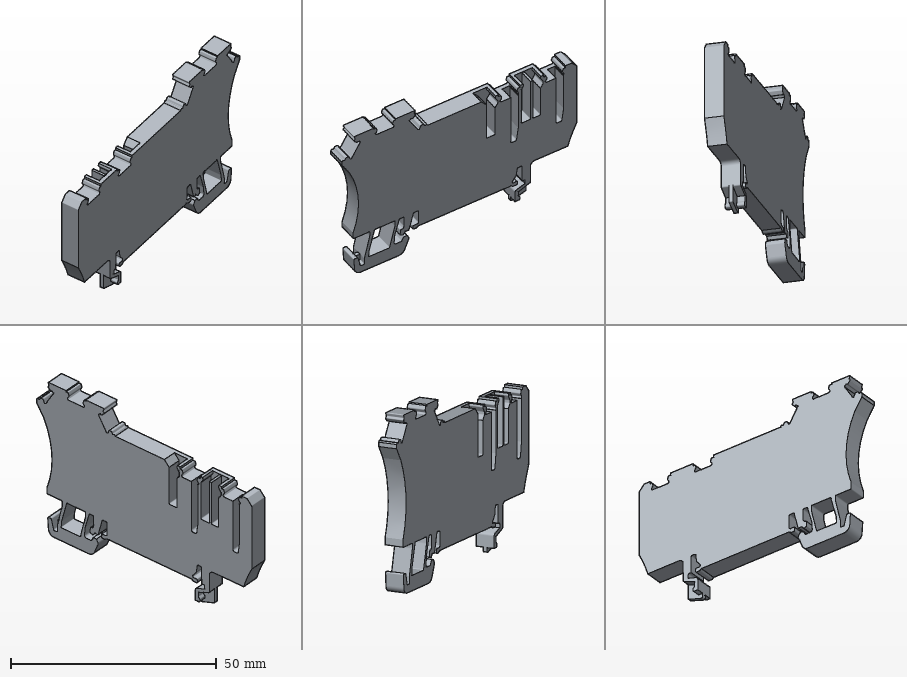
import cadquery as cq
import math

THICKNESS = 5.0
LENGTH = 68.05
HEIGHT = 45.05

BODY_TOP = 38.45
SHOULDER = 11.9
BODY_BOTTOM = 6.95

HEAD_HALF_LENGTH = 12.45
HEAD_AXIS = LENGTH - HEAD_HALF_LENGTH
HEAD_BASE = 37.8
HEAD_NOTCH_DEPTH = 2.45

END_CHAMFER = 1.5
END_FILLET = 0.3
END_Y = 64.8

OVERLAP = 0.7

FOOT_GAP_LEFT = 51.4
FOOT_GAP_RIGHT = 50.0
HOOK_GAP_LEFT = 47.3
HOOK_GAP_RIGHT = 45.8
LEG_GAP_LEFT = 17.2
LEG_GAP_RIGHT = 15.85
GAP_FILLET = 0.4

STRUT_EDGE = 59.95
STRUT_FILLET = 0.3
FOOT_FLOOR = 3.9

OPENING_DEPTH = 3.8
OPENING_PITCH = 13.1
NOTCH_CENTER = 19.5
NOTCH_DEPTH = 2.7
WIRE_SLOT_LEFT = 19.1
WIRE_SLOT_RIGHT = 16.95
CHAMBER_FLOOR = 25.9
CHAMBER_CORNER = 0.3
FLARE_BOTTOM = 36.8

WEB_START = 2.0
WEB_THICKNESS = 1.0


def outline(corners):
    """Closed YZ wire through (y, z) or (y, z, corner radius) entries."""
    starts, middles, ends = [], [], []
    for i, corner in enumerate(corners):
        point = cq.Vector(corner[0], corner[1])
        radius = corner[2] if len(corner) > 2 else 0
        before = cq.Vector(*corners[i - 1][:2])
        after = cq.Vector(*corners[(i + 1) % len(corners)][:2])
        to_before = (before - point).normalized()
        to_after = (after - point).normalized()
        half_angle = to_before.getAngle(to_after) / 2
        tangent = radius / math.tan(half_angle)
        to_arc = radius / math.sin(half_angle) - radius
        starts.append(point + to_before * tangent)
        middles.append(point + (to_before + to_after).normalized() * to_arc if radius else None)
        ends.append(point + to_after * tangent)

    wire = cq.Workplane("YZ").moveTo(ends[0].x, ends[0].y)
    for i in list(range(1, len(corners))) + [0]:
        wire = wire.lineTo(starts[i].x, starts[i].y)
        if middles[i]:
            wire = wire.threePointArc((middles[i].x, middles[i].y), (ends[i].x, ends[i].y))
    return wire.close()


def plate(corners, thickness=THICKNESS, start=0.0):
    """Flat plate with the given YZ outline, from X = start."""
    return outline(corners).extrude(thickness).translate((start, 0, 0))


def notch(center, top, depth):
    """Undercut notch for snap-in markers, symmetric about Y = center."""
    floor = top - depth
    half = [
        (2.45, floor, 0.15),
        (2.7, floor + 0.4, 0.15),
        (2.2, floor + 1.2, 0.35),
        (2.5, floor + 2.1, 0.3),
        (3.1, floor + 2.1),
        (3.1, top),
    ]
    right = [(center - c[0], *c[1:]) for c in half]
    left = [(center + c[0], *c[1:]) for c in reversed(half)]
    return plate(right + left)


def body():
    """Main plate, with a concave +Y end and a chamfered -Y end."""
    ear_bottom = 37.35
    return (
        cq.Workplane("YZ")
        .moveTo(END_CHAMFER, BODY_TOP)
        .lineTo(0, FLARE_BOTTOM)
        .lineTo(0, 18.3)
        .threePointArc((1.5, 15.05), (2.6, SHOULDER))
        .lineTo(END_Y, SHOULDER)
        .lineTo(END_Y, 13.8)
        .threePointArc((63.2, 22.65), (65.9, 33.95))
        .lineTo(LENGTH, ear_bottom)
        .lineTo(LENGTH, HEAD_BASE)
        .lineTo(HEAD_AXIS - HEAD_HALF_LENGTH, HEAD_BASE)
        .lineTo(HEAD_AXIS - HEAD_HALF_LENGTH, BODY_TOP)
        .close()
        .extrude(THICKNESS)
    )


def head():
    """Marker carrier: a T-shaped head with a beaded valley at each side."""
    half = [
        (8.9, HEIGHT, 0.2),
        (8.6, 44.15, 0.15),
        (8.9, 43.6, 0.2),
        (8.1, 42.75, 0.2),
        (7.7, 43.0, 0.2),
        (7.1, 42.45),
        (9.5, 38.5, 0.2),
        (9.95, 38.2, 0.15),
        (10.4, 39.3, 0.4),
        (11.3, 39.3, 0.4),
        (11.65, 38.6, 0.15),
        (12.1, 38.9, 0.2),
        (HEAD_HALF_LENGTH, BODY_TOP),
        (HEAD_HALF_LENGTH, HEAD_BASE),
    ]
    right = [(HEAD_AXIS - c[0], *c[1:]) for c in half]
    left = [(HEAD_AXIS + c[0], *c[1:]) for c in reversed(half)]
    return plate(right + left)


def clamp_chamber(left, right):
    """Narrow chamber whose -Y wall bulges outward near the top."""
    bulge = 0.8
    return [
        (left, CHAMBER_FLOOR, CHAMBER_CORNER),
        (right, CHAMBER_FLOOR, CHAMBER_CORNER),
        (right, 34.65),
        (right - bulge, 35.8, 0.4),
        (right - bulge, 36.55, 0.4),
        (right, 37.85, 0.3),
        (right - 0.15, BODY_TOP),
    ]


def openings():
    """Flared chamber, then a pair of chambers either side of a thin rib."""
    flared_left = 26.1
    flared_right = 23.7
    rib_left = 13.4
    rib_right = 12.7
    rib_top = BODY_TOP - 0.2
    hooked_left = 16.05

    flared = clamp_chamber(flared_left, flared_right)
    flared += [(flared_left + 1.5, BODY_TOP), (flared_left, FLARE_BOTTOM)]
    straight = clamp_chamber(rib_right, flared_right - OPENING_PITCH)
    straight += [(rib_right, BODY_TOP)]
    hooked = [
        (hooked_left, CHAMBER_FLOOR, CHAMBER_CORNER),
        (rib_left, CHAMBER_FLOOR, CHAMBER_CORNER),
        (rib_left, BODY_TOP),
        (hooked_left - 0.5, BODY_TOP),
        (hooked_left - 0.7, 37.85, 0.3),
        (hooked_left, FLARE_BOTTOM),
    ]
    rib_relief = [
        (rib_left, BODY_TOP),
        (rib_right, BODY_TOP),
        (rib_right, rib_top),
        (rib_left, rib_top),
    ]
    cuts = plate(flared, OPENING_DEPTH)
    for corners in (straight, hooked, rib_relief):
        cuts = cuts.union(plate(corners, OPENING_DEPTH))
    return cuts


def wire_slot(left, right):
    """Tapered slot running down from a notch floor."""
    floor = 20.95
    corners = [
        (left, BODY_TOP - NOTCH_DEPTH),
        (left, floor, 0.55),
        (left - 1.6, floor, 0.55),
        (right, 24.85),
        (right, BODY_TOP - NOTCH_DEPTH),
    ]
    return plate(corners, OPENING_DEPTH)


def foot():
    """Springy rail foot on the +Y side, hung from two slanted struts."""
    groove_right = 61.5
    groove_left = 62.6
    groove_floor = 2.05
    frame = [
        (STRUT_EDGE, SHOULDER + OVERLAP),
        (STRUT_EDGE, 10.55, 1.35),
        (groove_right, 3.95),
        (groove_right, groove_floor, 0.35),
        (groove_left, groove_floor, 0.35),
        (63.4, 5.2, 0.4),
        (64.6, 5.2, 0.35),
        (64.25, 0, 1.8),
        (50.3, 0, 2.05),
        (48.5, 4.35, 0.7),
        (49.1, 5.45),
        (50.15, 5.45, 0.15),
        (50.75, 4.3, 0.35),
        (52.95, 4.3, 0.6),
        (52.75, 7.15, 2.05),
        (FOOT_GAP_LEFT, SHOULDER),
        (FOOT_GAP_LEFT, SHOULDER + OVERLAP),
    ]
    groove_fill = [
        (groove_right, FOOT_FLOOR),
        (groove_left + 0.4, FOOT_FLOOR),
        (groove_left, groove_floor),
        (groove_right, groove_floor),
    ]
    return plate(frame).union(plate(groove_fill, WEB_THICKNESS, WEB_START))


def foot_window():
    """Opening between the two struts of the foot."""
    return plate([
        (58.5, SHOULDER, 0.3),
        (52.6, SHOULDER, 0.3),
        (52.7, 10.2, 1.35),
        (54.25, FOOT_FLOOR, 0.3),
        (60.3, FOOT_FLOOR, 0.15),
        (60.15, 5.8, 1.35),
    ])


def stop_hook():
    """Hook between the foot and the body."""
    return plate([
        (FOOT_GAP_RIGHT, SHOULDER + OVERLAP),
        (FOOT_GAP_RIGHT, 8.85, 0.7),
        (50.35, 8.25, 0.2),
        (51.05, 8.1, 0.3),
        (51.2, 6.5, 0.15),
        (50.3, 6.1, 0.2),
        (49.7, BODY_BOTTOM),
        (48.6, BODY_BOTTOM),
        (HOOK_GAP_LEFT, SHOULDER, 0.2),
        (HOOK_GAP_LEFT, SHOULDER + OVERLAP),
    ])


def middle_lips():
    """Block resting on the rail, ending in a small lip at either side."""
    return plate([
        (HOOK_GAP_RIGHT, SHOULDER + OVERLAP),
        (HOOK_GAP_RIGHT, 7.75, 0.5),
        (47.5, 7.75, 0.2),
        (47.5, 6.5, 0.35),
        (46.55, 6.5, 0.35),
        (45.7, BODY_BOTTOM),
        (19.0, BODY_BOTTOM),
        (18.5, 6.5, 0.35),
        (17.2, 6.5, 0.35),
        (17.2, 7.7, 0.35),
        (18.5, 7.6, 0.2),
        (18.7, 8.1, 0.15),
        (17.55, 9.5, 0.7),
        (LEG_GAP_LEFT, SHOULDER),
        (LEG_GAP_LEFT, SHOULDER + OVERLAP),
    ])


def leg():
    """Rigid rail leg on the -Y side, ending in a hook backed by a thin web."""
    outer = 13.4
    inner = 17.9
    ledge_start = outer - 2.7
    lip_underside = 1.2
    hook = plate([
        (LEG_GAP_RIGHT, SHOULDER + OVERLAP),
        (LEG_GAP_RIGHT, 7.0),
        (15.0, 7.0, 0.35),
        (15.0, 5.8),
        (inner, 4.75, 0.8),
        (inner, lip_underside),
        (16.5, lip_underside, 0.4),
        (16.4, 2.05, 0.3),
        (16.9, 2.6, 0.2),
        (16.9, 4.0),
        (outer, 5.4, 0.4),
        (outer, SHOULDER, 1.3),
        (ledge_start, SHOULDER),
        (ledge_start, SHOULDER + OVERLAP),
    ])
    web = plate([
        (inner, lip_underside),
        (inner, 0, 0.3),
        (17.2, 0, 0.15),
        (outer, 1.3, 0.2),
        (outer, 6.1),
        (16.9, 4.4),
    ], WEB_THICKNESS, WEB_START)
    return hook.union(web)


def round_edges(solid, places, radius):
    """Fillets the edges running along X at the given (y, z) places."""
    for y, z in places:
        edge = cq.NearestToPointSelector((THICKNESS / 2, y, z))
        solid = solid.edges("|X").edges(edge).fillet(radius)
    return solid


end_corners = [(END_CHAMFER, BODY_TOP), (0, FLARE_BOTTOM), (END_Y, SHOULDER)]
result = round_edges(body(), end_corners, END_FILLET)
for part in (head(), foot(), stop_hook(), middle_lips(), leg()):
    result = result.union(part)

gap_sides = (
    FOOT_GAP_LEFT,
    FOOT_GAP_RIGHT,
    HOOK_GAP_LEFT,
    HOOK_GAP_RIGHT,
    LEG_GAP_LEFT,
    LEG_GAP_RIGHT,
)
gap_corners = [(y, SHOULDER) for y in gap_sides]
result = round_edges(result, gap_corners, GAP_FILLET)
result = round_edges(result, [(STRUT_EDGE, SHOULDER)], STRUT_FILLET)

result = result.cut(foot_window())
result = result.cut(notch(HEAD_AXIS, HEIGHT, HEAD_NOTCH_DEPTH)).cut(openings())
for shift in (0, OPENING_PITCH):
    result = result.cut(notch(NOTCH_CENTER - shift, BODY_TOP, NOTCH_DEPTH))
    result = result.cut(wire_slot(WIRE_SLOT_LEFT - shift, WIRE_SLOT_RIGHT - shift))